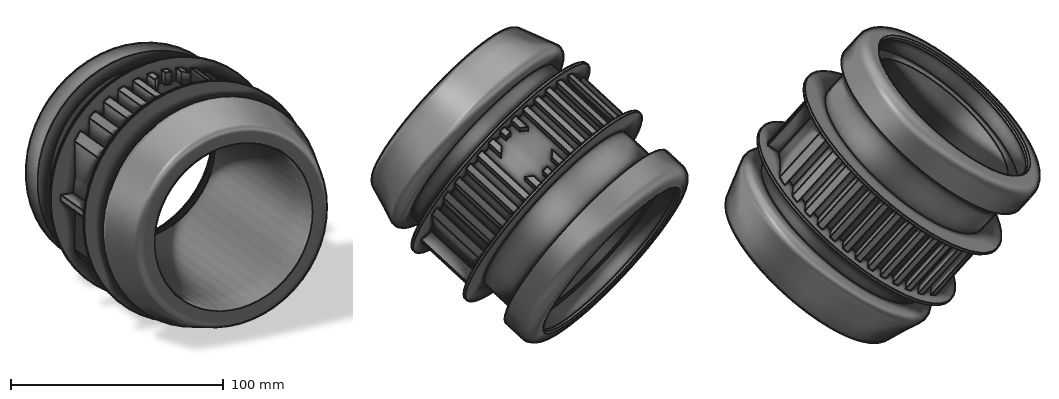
import cadquery as cq
import math

length = 109.7
bore_radius = 41.9
tube_radius = 48.6

mouth_radius = 46.3
lip_radius = 45.5
lip_depth = 2.2
recess_radius = 48.1
recess_depth = 11.0

left_collar_radius = 55.5
left_collar_length = 16.5
left_collar_fillet = 6.0

right_collar_start = 83.6
right_collar_crown_radius = 57.2
right_collar_crown_fillet = 4.2
right_collar_end_fillet = 4.0
right_collar_taper = math.radians(18.7)

hub_centre = 55.3
flange_radius = 60.0
flange_centre_offset = 17.0
flange_root_thickness = 3.2
flange_rim_thickness = 1.3

fin_tip_radius = 55.0
fin_thickness = 3.1
fin_pitch = 7.7
fins_each_side = 6
window_radius = 12.0


def turned(profile):
    """Revolve a half profile drawn in XY about the X axis."""
    return profile.close().revolve(360, (0, 0, 0), (1, 0, 0))


def cylinder(start, end, radius):
    """Solid cylinder along X."""
    return cq.Workplane("YZ", origin=(start, 0, 0)).circle(radius).extrude(end - start)


def left_collar():
    """Straight collar with a rounded left edge."""
    collar = cylinder(0, left_collar_length, left_collar_radius)
    return collar.faces("<X").edges().fillet(left_collar_fillet)


def right_collar():
    """Tapered collar whose larger, rounded edge peaks at the crown radius."""
    crown_x = right_collar_start + right_collar_crown_fillet
    crown_centre_radius = right_collar_crown_radius - right_collar_crown_fillet
    slope = math.tan(right_collar_taper)
    taper_radius = crown_centre_radius + right_collar_crown_fillet / math.cos(right_collar_taper)
    start_radius = taper_radius + (crown_x - right_collar_start) * slope
    end_radius = taper_radius - (length - crown_x) * slope
    collar = turned(
        cq.Workplane("XY")
        .moveTo(right_collar_start, 0)
        .lineTo(right_collar_start, start_radius)
        .lineTo(length, end_radius)
        .lineTo(length, 0)
    )
    collar = collar.faces("<X").edges().fillet(right_collar_crown_fillet)
    return collar.faces(">X").edges().fillet(right_collar_end_fillet)


def flange(centre):
    """Disc that tapers evenly on both faces from the tube to its rim."""
    half_root = flange_root_thickness / 2
    half_rim = flange_rim_thickness / 2
    return turned(
        cq.Workplane("XY")
        .moveTo(centre - half_root, 0)
        .lineTo(centre - half_root, tube_radius)
        .lineTo(centre - half_rim, flange_radius)
        .lineTo(centre + half_rim, flange_radius)
        .lineTo(centre + half_root, tube_radius)
        .lineTo(centre + half_root, 0)
    )


def fins():
    """Upright parallel fins and one level fin, all trimmed to a common cylinder."""
    fin_length = 2 * flange_centre_offset
    fin_span = 2 * flange_radius
    group = cq.Workplane("XY").box(fin_length, fin_span, fin_thickness)
    for index in range(-fins_each_side, fins_each_side + 1):
        upright_fin = cq.Workplane("XY").box(fin_length, fin_thickness, fin_span)
        group = group.union(upright_fin.translate((0, index * fin_pitch, 0)))
    window = cq.Workplane("XY").circle(window_radius).extrude(flange_radius)
    group = group.cut(window).translate((hub_centre, 0, 0))
    fin_start = hub_centre - flange_centre_offset
    envelope = cylinder(fin_start, fin_start + fin_length, fin_tip_radius)
    return group.intersect(envelope)


def bore():
    """Through bore, left recess and chamfered lip opening as one solid to remove."""
    return turned(
        cq.Workplane("XY")
        .moveTo(0, 0)
        .lineTo(0, mouth_radius)
        .lineTo(mouth_radius - lip_radius, lip_radius)
        .lineTo(lip_depth, lip_radius)
        .lineTo(lip_depth, recess_radius)
        .lineTo(recess_depth, recess_radius)
        .lineTo(recess_depth, bore_radius)
        .lineTo(length, bore_radius)
        .lineTo(length, 0)
    )


tube_start = left_collar_length / 2
tube_end = right_collar_start + right_collar_crown_fillet
result = cylinder(tube_start, tube_end, tube_radius)
result = result.union(left_collar()).union(right_collar())
for side in (-1, 1):
    result = result.union(flange(hub_centre + side * flange_centre_offset))
result = result.union(fins()).cut(bore())